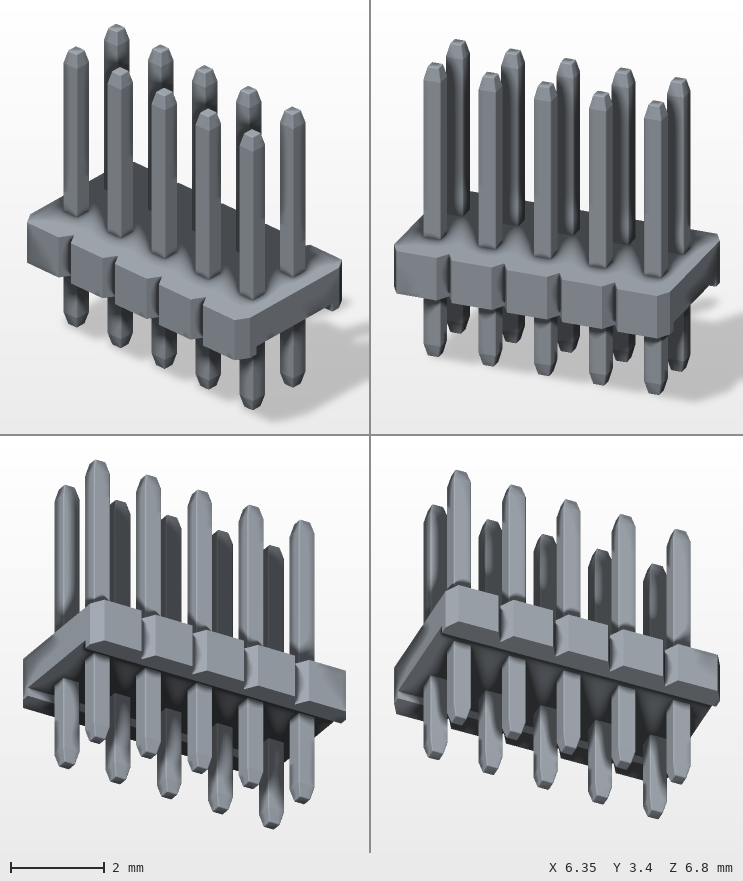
import cadquery as cq


columns = 5
rows = 2
pitch = 1.27
body_width = 3.4
body_height = 1.0
notch_half_width = 0.18
notch_depth = 0.3
foot_width = 0.5
foot_height = 0.2
pin_length = 6.8
pin_width = 0.4
pin_edge_radius = 0.03
tip_height = 0.3
tip_width = 0.26
tail_length = 1.8

body_length = columns * pitch
body_bottom = tail_length - pin_length / 2


def housing():
    """Insulator block: one chamfered cell per column, joined at the V-notches."""
    edge = body_width / 2
    shoulder = edge - notch_depth
    body = None
    for column in range(columns):
        cell_start = column * pitch - body_length / 2
        cell_end = cell_start + pitch
        cell = (
            cq.Workplane("XY", origin=(0, 0, body_bottom))
            .moveTo(cell_start, -shoulder)
            .lineTo(cell_start + notch_half_width, -edge)
            .lineTo(cell_end - notch_half_width, -edge)
            .lineTo(cell_end, -shoulder)
            .lineTo(cell_end, shoulder)
            .lineTo(cell_end - notch_half_width, edge)
            .lineTo(cell_start + notch_half_width, edge)
            .lineTo(cell_start, shoulder)
            .close()
            .extrude(body_height)
        )
        body = cell if body is None else body.union(cell)
    return body.clean()


def underside_channel():
    """Full-length channel that leaves a standing foot along each long side."""
    return cq.Workplane("XY", origin=(0, 0, body_bottom)).box(
        body_length, body_width - 2 * foot_width, foot_height, centered=(True, True, False)
    )


def pin_tip(direction):
    """Tapered pin end; direction is +1 for the top end and -1 for the bottom end."""
    shank_end = direction * (pin_length / 2 - tip_height)
    return (
        cq.Workplane("XY", origin=(0, 0, shank_end))
        .rect(pin_width, pin_width)
        .workplane(offset=direction * tip_height)
        .rect(tip_width, tip_width)
        .loft(ruled=True)
    )


def pin():
    """Square pin with tapered ends and rounding on its long, sloping and end edges."""
    shank = cq.Workplane("XY").box(pin_width, pin_width, pin_length - 2 * tip_height)
    blank = shank.union(pin_tip(1)).union(pin_tip(-1))
    sharp_edges = blank.edges("(not #Z) or >Z or <Z")
    return sharp_edges.fillet(pin_edge_radius)


pins = cq.Workplane("XY").rarray(pitch, pitch, columns, rows).eachpoint(pin().val(), combine=False)
result = housing().cut(underside_channel()).union(pins)